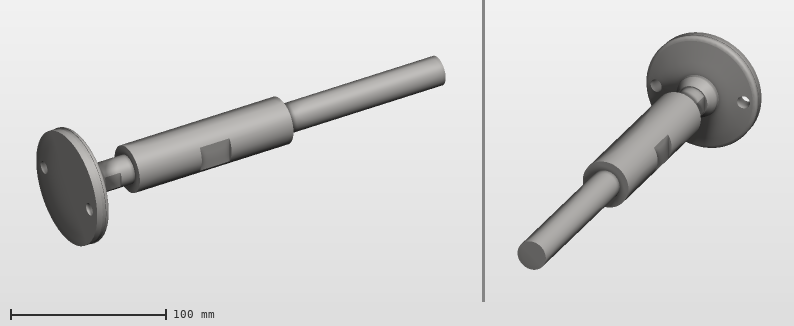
import cadquery as cq
import math

total_length = 277.0

foot_radius = 78.0 / 2
pad_radius = 38.8
groove_bottom = 4.2
groove_top = 6.6
groove_radius = 38.5
rim_height = 9.1
rim_round = 2.8
plate_top_radius = 14.7
plate_top_height = 13.5

neck_base_radius = 14.0
collar_height = 14.0
neck_base_height = 15.8
neck_top_radius = 10.8
neck_top_height = 23.0

hole_diameter = 8.5
hole_offset = 28.8
hole_cutter_length = 55.5

spindle_diameter = 20.0
spindle_flat_width = 17.0
spindle_flat_end = 35.2

sleeve_diameter = 32.0
sleeve_start = 45.2
sleeve_length = 114.7
sleeve_flat_width = 27.0
sleeve_flat_length = 22.2


def cylinder(diameter, start, length):
    """Cylinder along +Y, beginning at y = start."""
    return cq.Workplane(cq.Solid.makeCylinder(
        diameter / 2, length, cq.Vector(0, start, 0), cq.Vector(0, 1, 0)))


def cut_flats(body, diameter, width, start, length):
    """Cut two parallel wrench flats, facing -X and +X."""
    for side in (-1, 1):
        cutter = (
            cq.Workplane()
            .box(diameter, length, 2 * diameter)
            .translate((side * (width + diameter) / 2, start + length / 2, 0))
        )
        body = body.cut(cutter)
    return body


def make_foot():
    """Revolved foot plate with a rim groove, a rounded upper rim and a conical neck."""
    return (
        cq.Workplane("XY")
        .moveTo(0, 0)
        .lineTo(pad_radius, 0)
        .lineTo(pad_radius, groove_bottom)
        .lineTo(groove_radius, groove_bottom)
        .lineTo(groove_radius, groove_top)
        .lineTo(foot_radius, groove_top)
        .lineTo(foot_radius, rim_height)
        .lineTo(plate_top_radius, plate_top_height)
        .lineTo(neck_base_radius, collar_height)
        .lineTo(neck_base_radius, neck_base_height)
        .lineTo(neck_top_radius, neck_top_height)
        .lineTo(0, neck_top_height)
        .close()
        .revolve(360, (0, 0, 0), (0, 1, 0))
        .edges(cq.NearestToPointSelector((0, rim_height, 0)))
        .fillet(rim_round)
    )


def cut_mounting_holes(foot):
    """Drill two holes that lean outward, one on each side of the axis."""
    cone_rise = plate_top_height - rim_height
    cone_run = foot_radius - plate_top_radius
    lean = math.atan2(cone_rise, cone_run)
    for side in (-1, 1):
        direction = cq.Vector(side * math.sin(lean), math.cos(lean), 0)
        start = cq.Vector(side * hole_offset, 0, 0) - direction * (hole_cutter_length / 2)
        foot = foot.cut(cq.Workplane(cq.Solid.makeCylinder(
            hole_diameter / 2, hole_cutter_length, start, direction)))
    return foot


def make_footed_spindle():
    """Foot and spindle as one body, with wrench flats just above the neck."""
    spindle = cylinder(spindle_diameter, neck_top_height, total_length - neck_top_height)
    spindle = cut_flats(
        spindle, spindle_diameter, spindle_flat_width,
        neck_top_height, spindle_flat_end - neck_top_height)
    return cut_mounting_holes(make_foot()).union(spindle)


def make_sleeve():
    """Sleeve around the spindle, with wrench flats at mid length."""
    sleeve = cylinder(sleeve_diameter, sleeve_start, sleeve_length)
    sleeve = sleeve.cut(cylinder(spindle_diameter, sleeve_start, sleeve_length))
    flat_start = sleeve_start + (sleeve_length - sleeve_flat_length) / 2
    return cut_flats(
        sleeve, sleeve_diameter, sleeve_flat_width, flat_start, sleeve_flat_length)


footed_spindle = make_footed_spindle()
sleeve = make_sleeve()
result = cq.Compound.makeCompound([footed_spindle.val(), sleeve.val()])